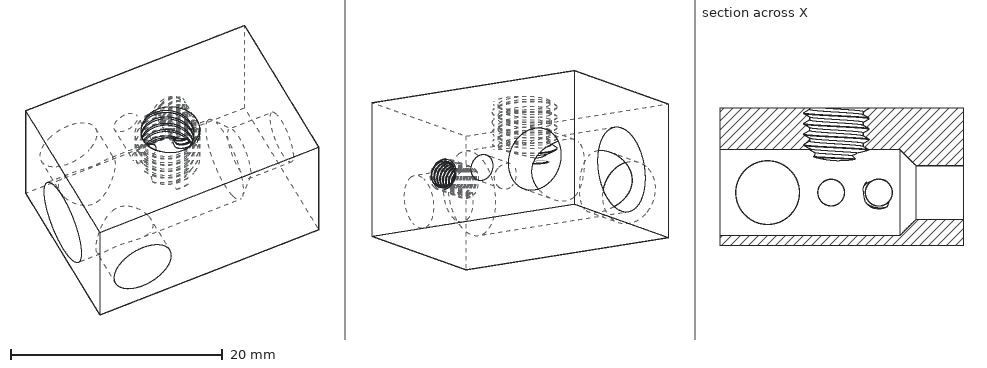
import cadquery as cq
import math

width = 16.0
length = 23.0
height = 13.0
left_face = -width / 2
front_face = -length / 2
top_face = height / 2

rear_bore_diameter = 5.04
bore_z = -1.5
front_bore_diameter = 8.1
front_bore_length = 17.0
cone_half_angle = 45.0

heater_diameter = 6.0
heater_y = -7.0
sensor_diameter = 2.5
sensor_y = -1.0

top_minor_diameter = 5.04
top_major_diameter = 6.15
top_pitch = 1.0
top_hole_y = -0.5
top_thread_angle = 90.0
side_minor_diameter = 2.53
side_major_diameter = 3.09
side_pitch = 0.5
side_hole_y = 3.5
side_thread_angle = -80.0
flank_half_angle = 30.0
root_flat_ratio = 1 / 16
bore_clearance = front_bore_diameter / 4
groove_overlap = 0.05


def thread_groove(minor_diameter, major_diameter, pitch, depth):
    """Helical groove around Z, from -depth to one pitch above Z = 0, centred on +X at Z = 0."""
    inner_radius = minor_diameter / 2 - groove_overlap
    root_radius = major_diameter / 2
    root_half = pitch * root_flat_ratio / 2
    flank_rise = (root_radius - inner_radius) * math.tan(math.radians(flank_half_angle))
    mouth_half = root_half + flank_rise
    start = -math.ceil(depth / pitch) * pitch
    path = cq.Wire.makeHelix(pitch, pitch - start, inner_radius, cq.Vector(0, 0, start))
    profile = cq.Workplane("XZ").polyline([
        (inner_radius, start - mouth_half),
        (root_radius, start - root_half),
        (root_radius, start + root_half),
        (inner_radius, start + mouth_half),
    ]).close()
    return profile.sweep(cq.Workplane(path), isFrenet=True)


def round_hole(diameter, depth):
    """Cylinder of the given depth, running down from Z = 0."""
    return cq.Workplane("XY").circle(diameter / 2).extrude(-depth)


def turn_to_left_face(tool, y):
    """Turn a tool that runs down from Z = 0 so that it runs inward from the left face."""
    turned = tool.rotate((0, 0, 0), (0, 1, 0), -90)
    return turned.translate((left_face, y, bore_z))


def main_bore():
    """Stepped through bore: a wide front length, a cone, then the narrow rear length."""
    rear_bore_radius = rear_bore_diameter / 2
    front_bore_radius = front_bore_diameter / 2
    cone_length = (front_bore_radius - rear_bore_radius) / math.tan(math.radians(cone_half_angle))
    cone_start = front_face + front_bore_length
    outline = cq.Workplane("XY").polyline([
        (0, front_face),
        (front_bore_radius, front_face),
        (front_bore_radius, cone_start),
        (rear_bore_radius, cone_start + cone_length),
        (rear_bore_radius, -front_face),
        (0, -front_face),
    ]).close()
    return outline.revolve(360, (0, 0, 0), (0, 1, 0)).translate((0, 0, bore_z))


def cut_top_thread(body):
    """Threaded hole from the top face down to the bore axis."""
    depth = top_face - bore_z
    place = (0, top_hole_y, top_face)
    groove = thread_groove(top_minor_diameter, top_major_diameter, top_pitch, depth - bore_clearance)
    groove = groove.rotate((0, 0, 0), (0, 0, 1), top_thread_angle)
    body = body.cut(groove.translate(place))
    return body.cut(round_hole(top_minor_diameter, depth).translate(place))


def cut_side_thread(body):
    """Threaded hole from the left face to the bore axis."""
    depth = -left_face
    groove = thread_groove(side_minor_diameter, side_major_diameter, side_pitch, depth - bore_clearance)
    groove = groove.rotate((0, 0, 0), (0, 0, 1), side_thread_angle)
    body = body.cut(turn_to_left_face(groove, side_hole_y))
    return body.cut(turn_to_left_face(round_hole(side_minor_diameter, depth), side_hole_y))


body = cq.Workplane("XY").box(width, length, height)
body = cut_top_thread(body)
body = cut_side_thread(body)
body = body.cut(turn_to_left_face(round_hole(heater_diameter, width), heater_y))
body = body.cut(turn_to_left_face(round_hole(sensor_diameter, -left_face), sensor_y))
result = body.cut(main_bore()).solids()